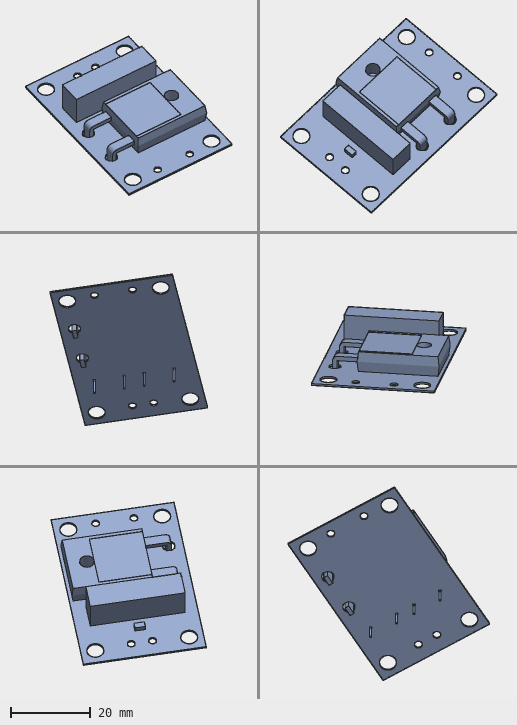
import cadquery as cq
import math

BOARD_LENGTH = 45.85
BOARD_WIDTH = 31.22
BOARD_THICKNESS = 0.5
MOUNT_HOLE_DIAMETER = 4.2
MOUNT_HOLE_X = 19.2
MOUNT_HOLE_Y = 11.9
WIRE_HOLE_DIAMETER = 1.93
LEFT_WIRE_HOLE_X = -18.7
LEFT_WIRE_HOLE_Y = 2.7
RIGHT_WIRE_HOLE_X = 19.9
RIGHT_WIRE_HOLE_Y = 4.85
LEAD_HOLE_DIAMETER = 3.03
LEAD_HOLE_Y = -MOUNT_HOLE_Y
PIN_HOLE_DIAMETER = 0.65

MODULE_WIDTH = 6.3
MODULE_LENGTH = 24.1
MODULE_HEIGHT = 8.15
MODULE_X = -8.35
MODULE_Y = -0.25
PIN_DIAMETER = 0.45
PIN_PROTRUSION = 4.6
PIN_LENGTH = PIN_PROTRUSION + BOARD_THICKNESS
PIN_ROW_LENGTH = 20.3
PIN_PITCH = PIN_ROW_LENGTH / 8
PIN_STEPS = (-4, -1, 1, 4)
PIN_POINTS = [(MODULE_X, MODULE_Y + step * PIN_PITCH) for step in PIN_STEPS]

CHIP_WIDTH = 1.45
CHIP_LENGTH = 2.65
CHIP_HEIGHT = 1.3
CHIP_X = -14.25
CHIP_Y = -0.25

PACKAGE_WIDTH = 16.0
PACKAGE_LENGTH = 20.85
PACKAGE_HEIGHT = 5.23
PACKAGE_X = 4.65
PACKAGE_Y = 4.6
DRAFT_ANGLE = 7.0
PARTING_HEIGHT = PACKAGE_HEIGHT / 2
DRAFT_INSET = PARTING_HEIGHT * math.tan(math.radians(DRAFT_ANGLE))
SCREW_HOLE_DIAMETER = 3.58
SCREW_HOLE_Y = 9.8

TAB_WIDTH = 13.65
TAB_THICKNESS = 0.1
TAB_FRONT_Y = PACKAGE_Y - PACKAGE_LENGTH / 2 + DRAFT_INSET
TAB_BACK_Y = 8.0
TAB_LENGTH = TAB_BACK_Y - TAB_FRONT_Y

LEAD_WIDTH = 2.5
LEAD_THICKNESS = 1.15
LEAD_TOP_Z = 3.15
LEAD_BOTTOM_Z = -2.48
LEAD_FRONT_Y = -12.4
LEAD_ROOT_Y = PACKAGE_Y - PACKAGE_LENGTH / 2 + 2 * DRAFT_INSET
LEAD_BEND_RADIUS = 1.35
LEAD_INNER_RADIUS = LEAD_BEND_RADIUS - LEAD_THICKNESS
LEAD_SPACING = 4 * PIN_PITCH
LEAD_XS = [PACKAGE_X + side * LEAD_SPACING / 2 for side in (-1, 1)]


def block(width, length, height, x, y, z):
    """Rectangular block centred on (x, y) and standing on height z."""
    return cq.Workplane("XY").box(width, length, height, centered=(True, True, False)).translate((x, y, z))


def drill_board(board, points, diameter):
    """Cut through holes in the board at the given points."""
    drills = (
        cq.Workplane("XY", origin=(0, 0, -BOARD_THICKNESS))
        .pushPoints(points)
        .circle(diameter / 2)
        .extrude(BOARD_THICKNESS)
    )
    return board.cut(drills)


def make_board():
    mount_points = [(sx * MOUNT_HOLE_X, sy * MOUNT_HOLE_Y) for sx in (-1, 1) for sy in (-1, 1)]
    wire_points = []
    for side in (-1, 1):
        wire_points.append((LEFT_WIRE_HOLE_X, side * LEFT_WIRE_HOLE_Y))
        wire_points.append((RIGHT_WIRE_HOLE_X, side * RIGHT_WIRE_HOLE_Y))
    lead_points = [(x, LEAD_HOLE_Y) for x in LEAD_XS]

    board = block(BOARD_LENGTH, BOARD_WIDTH, BOARD_THICKNESS, 0, 0, -BOARD_THICKNESS)
    board = drill_board(board, mount_points, MOUNT_HOLE_DIAMETER)
    board = drill_board(board, wire_points, WIRE_HOLE_DIAMETER)
    board = drill_board(board, lead_points, LEAD_HOLE_DIAMETER)
    return drill_board(board, PIN_POINTS, PIN_HOLE_DIAMETER)


def make_module():
    return block(MODULE_WIDTH, MODULE_LENGTH, MODULE_HEIGHT, MODULE_X, MODULE_Y, 0)


def make_pin(point):
    """Round pin hanging from the underside of the module."""
    return cq.Workplane("XY").center(*point).circle(PIN_DIAMETER / 2).extrude(-PIN_LENGTH)


def make_chip():
    return block(CHIP_WIDTH, CHIP_LENGTH, CHIP_HEIGHT, CHIP_X, CHIP_Y, 0)


def make_tab():
    tab_y = (TAB_FRONT_Y + TAB_BACK_Y) / 2
    return block(TAB_WIDTH, TAB_LENGTH, TAB_THICKNESS, PACKAGE_X, tab_y, PACKAGE_HEIGHT - TAB_THICKNESS)


def make_lead(x):
    """Flat lead that leaves the package and bends down through the board."""
    inner_y = LEAD_FRONT_Y + LEAD_THICKNESS
    underside_z = LEAD_TOP_Z - LEAD_THICKNESS
    bend_y = LEAD_FRONT_Y + LEAD_BEND_RADIUS
    bend_z = LEAD_TOP_Z - LEAD_BEND_RADIUS
    diagonal = math.sqrt(0.5)
    outer_mid = (bend_y - LEAD_BEND_RADIUS * diagonal, bend_z + LEAD_BEND_RADIUS * diagonal)
    inner_mid = (bend_y - LEAD_INNER_RADIUS * diagonal, bend_z + LEAD_INNER_RADIUS * diagonal)
    return (
        cq.Workplane("YZ", origin=(x - LEAD_WIDTH / 2, 0, 0))
        .moveTo(LEAD_ROOT_Y, LEAD_TOP_Z)
        .lineTo(bend_y, LEAD_TOP_Z)
        .threePointArc(outer_mid, (LEAD_FRONT_Y, bend_z))
        .lineTo(LEAD_FRONT_Y, LEAD_BOTTOM_Z)
        .lineTo(inner_y, LEAD_BOTTOM_Z)
        .lineTo(inner_y, bend_z)
        .threePointArc(inner_mid, (bend_y, underside_z))
        .lineTo(LEAD_ROOT_Y, underside_z)
        .close()
        .extrude(LEAD_WIDTH)
    )


def make_package(tab):
    """Drafted moulding with its two leads, a screw hole and a recess for the tab."""
    parting_plane = cq.Workplane("XY", origin=(PACKAGE_X, PACKAGE_Y, PARTING_HEIGHT))
    upper_half = parting_plane.rect(PACKAGE_WIDTH, PACKAGE_LENGTH).extrude(PARTING_HEIGHT, taper=DRAFT_ANGLE)
    lower_half = upper_half.mirror("XY", basePointVector=(0, 0, PARTING_HEIGHT))
    screw_hole = (
        cq.Workplane("XY")
        .center(PACKAGE_X, SCREW_HOLE_Y)
        .circle(SCREW_HOLE_DIAMETER / 2)
        .extrude(PACKAGE_HEIGHT)
    )
    package = upper_half.union(lower_half).cut(screw_hole).cut(tab)
    for x in LEAD_XS:
        package = package.union(make_lead(x))
    return package


board = make_board()
module = make_module()
pins = [make_pin(point) for point in PIN_POINTS]
chip = make_chip()
tab = make_tab()
package = make_package(tab)

result = cq.Compound.makeCompound([
    board.solids().val(),
    module.val(),
    *[pin.val() for pin in pins],
    chip.val(),
    package.solids().val(),
    tab.val(),
])